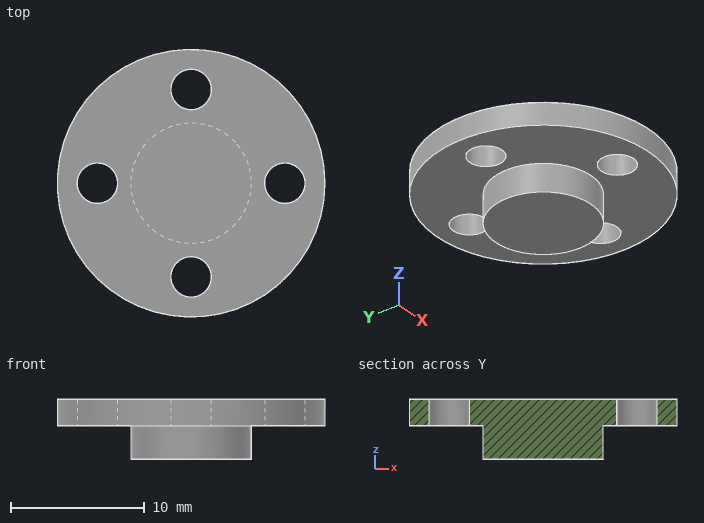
import cadquery as cq

flange_diameter = 20.0
flange_thickness = 2.0

boss_diameter = 9.0
boss_height = 2.5

hole_count = 4
hole_diameter = 3.0
hole_circle_radius = 7.0


def make_flange():
    """Disc whose underside lies on Z = 0."""
    return cq.Workplane("XY").circle(flange_diameter / 2).extrude(flange_thickness)


def make_boss():
    """Solid cylinder hanging below the flange."""
    return cq.Workplane("XY").circle(boss_diameter / 2).extrude(-boss_height)


def make_holes():
    """Cylinders evenly spaced around the hole circle, through the flange."""
    return (
        cq.Workplane("XY")
        .polarArray(hole_circle_radius, 0, 360, hole_count)
        .circle(hole_diameter / 2)
        .extrude(flange_thickness)
    )


result = make_flange().union(make_boss()).cut(make_holes())